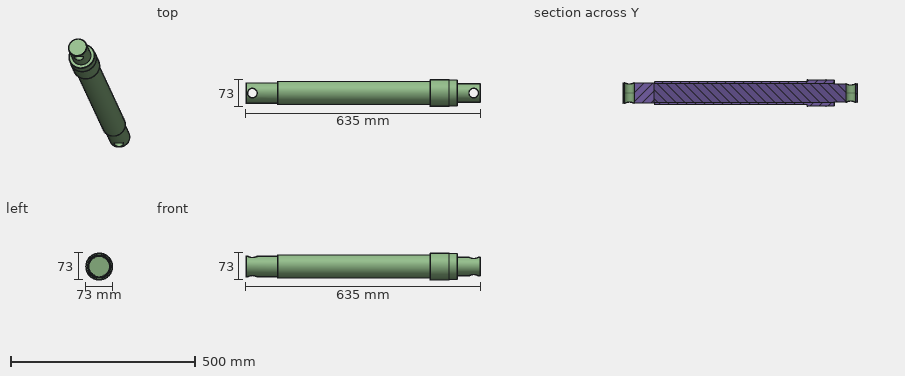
import cadquery as cq

total_length = 635.0
tube_start = 85.0
gland_start = 498.5
gland_step = 550.0
gland_end = 573.0

shank_diameter = 56.0
tube_diameter = 63.5
gland_diameter = 73.0
gland_nose_diameter = 71.0
rod_diameter = 51.0

pin_hole_diameter = 25.5
shank_hole_x = 17.0
rod_hole_x = total_length - 18.0

edge_chamfer = 1.0


def round_bar(start, end, diameter):
    """Cylinder on the X axis between two stations."""
    return cq.Workplane("YZ", origin=(start, 0, 0)).circle(diameter / 2).extrude(end - start)


def pin_hole(x):
    """Cutter for a vertical pin hole that passes right through the cylinder."""
    return (
        cq.Workplane("XY")
        .center(x, 0)
        .circle(pin_hole_diameter / 2)
        .extrude(gland_diameter, both=True)
    )


def make_barrel():
    """Closed shank, tube and stepped gland, with a blind bore for the rod."""
    shank = round_bar(0, tube_start, shank_diameter)
    tube = round_bar(tube_start, gland_start, tube_diameter).faces("<X").chamfer(edge_chamfer)
    gland = round_bar(gland_start, gland_step, gland_diameter).faces("<X").chamfer(edge_chamfer)
    nose = round_bar(gland_step, gland_end, gland_nose_diameter).faces(">X").chamfer(edge_chamfer)
    rod_bore = round_bar(tube_start, gland_end, rod_diameter)
    return shank.union(tube).union(gland).union(nose).cut(rod_bore).cut(pin_hole(shank_hole_x))


def make_rod():
    """Rod that fills the bore and carries a pin hole at its outer end."""
    rod = round_bar(tube_start, total_length, rod_diameter).faces(">X").chamfer(edge_chamfer)
    return rod.cut(pin_hole(rod_hole_x))


barrel = make_barrel()
rod = make_rod()

result = cq.Compound.makeCompound([barrel.val(), rod.val()])